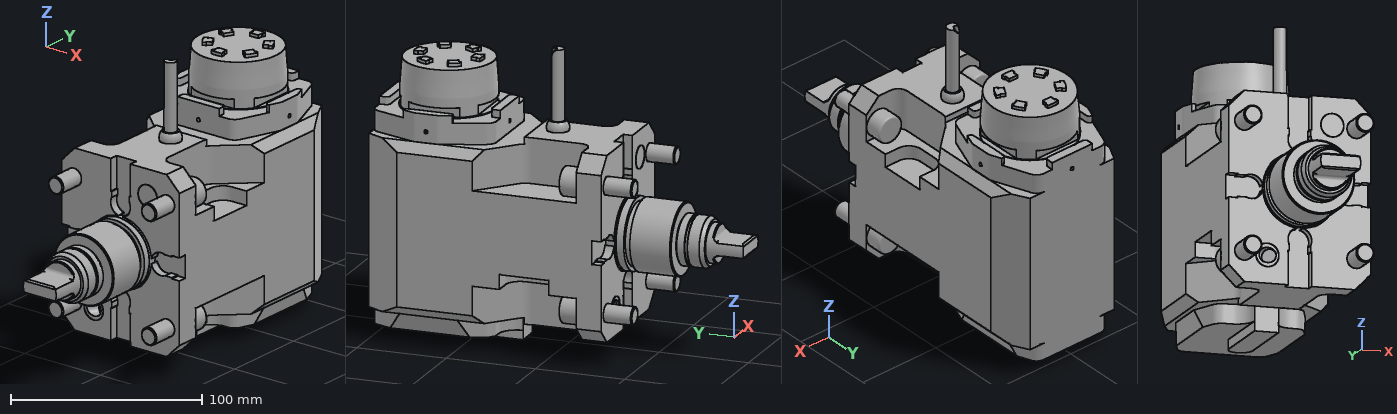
import cadquery as cq
import math


half_width = 78.0 / 2
body_half_height = 47.7
body_length = 134.0
body_edge_chamfer = 5.3
rear_chamfer_x = 10.1
rear_chamfer_y = 19.7

flange_half_height = 51.3
flange_thickness = 14.0
flange_chamfer = 8.5
block_length = 51.5

notch_floor_z = 26.2
notch_wall_x = 16.2
notch_rear_y = 72.2
notch_bend_y = 51.7
notch_bend_radius = 8.1
notch_flange_radius = 6.3

pocket_floor_z = 18.0
pocket_wall_x = 21.7
pocket_front_y = 29.5
pocket_rear_y = 57.0
pocket_radius = 8.1

key_depth = 5.0
key_neck_width = 11.8
key_mouth_width = 13.0
key_mouth_inner_z = 32.9
key_mouth_inner_x = 34.0
key_relief_center = 26.8

bolt_x = 30.8
bolt_z = 34.9
bolt_diameter = 10.0
bolt_reach = 15.8
bolt_tip_chamfer = 0.6
bolt_head_diameter = 16.0
bolt_head_height = 10.0
bolt_head_fillet = 1.2

port_x = 17.8
port_z = 36.0
port_seat_diameter = 12.5
port_seat_depth = 0.2
port_hole_diameter = 8.1
port_hole_depth = 4.5
port_tilt = 30.0

recess_diameter = 41.0

collar_diameter = 40.0
collar_end_y = -5.3
collar_chamfer = 1.0
groove_diameter = 35.0
groove_end_y = -8.7
barrel_diameter = 39.7
barrel_end_y = -31.6
barrel_chamfer = 0.6
neck_diameter = 25.0
neck_end_y = -32.7
journal_diameter = 28.0
journal_end_y = -47.7
journal_tip_diameter = 25.0
journal_taper_y = -45.2
ring_groove_diameter = 26.4
ring_groove_start_y = -37.0
ring_groove_end_y = -38.5
spigot_diameter = 22.0
spigot_end_y = -51.7
spigot_chamfer = 0.6

tang_tip_y = body_length - 202.8
tang_half_thickness = 4.0
tang_root_radius = 2.0
tang_flat_half = 8.3
tang_bevel_drop = 0.8
tang_tip_bevel_length = 1.2

plate_half_size = 68.0 / 2
plate_center_y = body_length - plate_half_size
plate_flat_half = 6.7
plate_end_half = 23.5
plate_corner_radius = 6.0
top_plate_z = 59.2
tab_top_z = 63.5
tab_half_width = 13.8
tab_depth = 5.5
tab_corner_radius = 2.0
pin_hole_diameter = 2.0
pin_hole_depth = 2.0
pin_hole_z = 53.7

bottom_plate_z = -58.2
flank_top_x = 30.6
flank_bottom_x = 28.0

bar_half_width = 13.2 / 2
bar_front_y = 56.2
bar_rear_y = 106.3
bar_bottom_z = -63.5
bar_root_radius = 9.7

head_seat_diameter = 52.7
head_seat_height = 0.5
head_neck_size = 43.5
head_bottom_z = 64.9
head_taper_z = 70.2
head_top_z = 85.4
head_base_diameter = 52.0
head_top_diameter = 49.7
tooth_count = 6
tooth_height = 1.8

pipe_x = 2.0
pipe_y = 40.0
pipe_diameter = 7.0
pipe_top_z = 96.0
nut_radius = 6.0
nut_sphere_z = flange_half_height + 1.2
nut_top_z = 56.5
nozzle_diameter = 4.0
nozzle_depth = 3.2
nozzle_tilt = 45.0
nozzle_heading = 120.0
tip_flat_offset = 1.6

overhang = 2.0

corners = [(side, level) for side in (-1, 1) for level in (-1, 1)]


def upright(sketch, z_bottom, z_top):
    """Extrude a closed XY outline between two heights."""
    return sketch.extrude(z_top - z_bottom).translate((0, 0, z_bottom))


def rod(x, z, y_front, y_rear, diameter):
    """Cylinder along Y between two positions."""
    return (
        cq.Workplane("XZ", origin=(x, y_rear, z))
        .circle(diameter / 2)
        .extrude(y_rear - y_front)
    )


def post(x, y, z_bottom, z_top, diameter):
    """Vertical cylinder between two heights."""
    return cq.Workplane("XY", origin=(x, y, z_bottom)).circle(diameter / 2).extrude(z_top - z_bottom)


def make_housing():
    side = half_width
    shoulder_y = body_length - rear_chamfer_y
    rear_x = half_width - rear_chamfer_x
    outline = cq.Workplane("XY").polyline([
        (-side, 0), (side, 0), (side, shoulder_y), (rear_x, body_length),
        (-rear_x, body_length), (-side, shoulder_y),
    ]).close()
    body = upright(outline, -body_half_height, body_half_height)
    long_edges = (
        cq.Workplane("XY")
        .box(2 * half_width, body_length, 2 * body_half_height, centered=(True, False, True))
        .edges("|Y")
        .chamfer(body_edge_chamfer)
    )
    block = (
        cq.Workplane("XY")
        .box(2 * half_width, block_length, 2 * flange_half_height, centered=(True, False, True))
        .edges("|Y")
        .chamfer(flange_chamfer)
    )
    return body.intersect(long_edges).union(block)


def place_in_corner(shape, side, level):
    """Mirror a feature made in the +X +Z corner into another corner."""
    if side < 0:
        shape = shape.mirror("YZ")
    if level < 0:
        shape = shape.mirror("XY")
    return shape


def make_notch(side, level):
    """Notch in one corner; side and level are the signs of X and Z."""
    slope = (notch_rear_y - notch_bend_y) / (half_width - notch_wall_x)
    outside = half_width + overhang
    middle_z = (notch_floor_z + flange_half_height) / 2
    outline = cq.Workplane("XY").polyline([
        (notch_wall_x, flange_thickness), (outside, flange_thickness),
        (outside, notch_rear_y + slope * overhang), (notch_wall_x, notch_bend_y),
    ]).close()
    notch = upright(outline, notch_floor_z, flange_half_height + overhang)
    rounded_corners = ((notch_bend_y, notch_bend_radius), (flange_thickness, notch_flange_radius))
    for corner_y, radius in rounded_corners:
        nearest = cq.selectors.NearestToPointSelector((notch_wall_x, corner_y, middle_z))
        notch = notch.edges(nearest).fillet(radius)
    return place_in_corner(notch, side, level)


def make_pocket(side, level):
    pocket = (
        cq.Workplane("XY")
        .box(2 * (half_width - pocket_wall_x), pocket_rear_y - pocket_front_y,
             notch_floor_z - pocket_floor_z + overhang, centered=False)
        .edges("|Z and <X")
        .fillet(pocket_radius)
        .translate((pocket_wall_x, pocket_front_y, pocket_floor_z))
    )
    return place_in_corner(pocket, side, level)


def make_keyway(mouth_inner, reach):
    """Keyway running up from the shank, with a round relief at its inner end and a wider mouth."""
    neck = cq.Workplane("XY").box(
        key_neck_width, key_depth, reach - key_relief_center, centered=(True, False, False)
    ).translate((0, 0, key_relief_center))
    mouth = cq.Workplane("XY").box(
        key_mouth_width, key_depth, reach - mouth_inner, centered=(True, False, False)
    ).translate((0, 0, mouth_inner))
    relief = rod(0, key_relief_center, 0, key_depth, key_mouth_width)
    return neck.union(mouth).union(relief)


def cut_keyways(body):
    for angle in (0, 90, 180, 270):
        across = angle in (90, 270)
        mouth_inner = key_mouth_inner_x if across else key_mouth_inner_z
        reach = half_width if across else flange_half_height
        keyway = make_keyway(mouth_inner, reach + overhang)
        body = body.cut(keyway.rotate((0, 0, 0), (0, 1, 0), angle))
    return body


def make_bolt(side, level):
    head_end = flange_thickness + bolt_head_height
    stud = rod(bolt_x, bolt_z, -bolt_reach, flange_thickness, bolt_diameter)
    stud = stud.faces("<Y").chamfer(bolt_tip_chamfer)
    head = rod(bolt_x, bolt_z, flange_thickness, head_end, bolt_head_diameter)
    head = head.faces(">Y").edges().fillet(bolt_head_fillet)
    return place_in_corner(stud.union(head), side, level)


def cut_ports(body):
    """Two shallow round seats in opposite corners; the lower one opens into a slanted hole."""
    for sign in (1, -1):
        body = body.cut(rod(sign * port_x, sign * port_z, 0, port_seat_depth, port_seat_diameter))
    hole = rod(0, 0, -port_hole_depth, port_hole_depth, port_hole_diameter)
    hole = hole.rotate((0, 0, 0), (0, 0, 1), -port_tilt).translate((-port_x, 0, -port_z))
    return body.cut(hole)


def make_shank():
    collar_radius = collar_diameter / 2
    groove_radius = groove_diameter / 2
    barrel_radius = barrel_diameter / 2
    neck_radius = neck_diameter / 2
    journal_radius = journal_diameter / 2
    ring_radius = ring_groove_diameter / 2
    spigot_radius = spigot_diameter / 2
    journal_tip_radius = journal_tip_diameter / 2
    profile = (
        cq.Workplane("XY")
        .moveTo(0, key_depth)
        .lineTo(collar_radius - collar_chamfer, key_depth)
        .lineTo(collar_radius - collar_chamfer, 0)
        .lineTo(collar_radius, -collar_chamfer)
        .lineTo(collar_radius, collar_end_y)
        .lineTo(groove_radius, collar_end_y)
        .lineTo(groove_radius, groove_end_y)
        .lineTo(barrel_radius, groove_end_y)
        .lineTo(barrel_radius, barrel_end_y + barrel_chamfer)
        .lineTo(barrel_radius - barrel_chamfer, barrel_end_y)
        .lineTo(neck_radius, barrel_end_y)
        .lineTo(neck_radius, neck_end_y)
        .lineTo(journal_radius, neck_end_y)
        .lineTo(journal_radius, ring_groove_start_y)
        .lineTo(ring_radius, ring_groove_start_y)
        .lineTo(ring_radius, ring_groove_end_y)
        .lineTo(journal_radius, ring_groove_end_y)
        .lineTo(journal_radius, journal_taper_y)
        .lineTo(journal_tip_radius, journal_end_y)
        .lineTo(spigot_radius, journal_end_y)
        .lineTo(spigot_radius, spigot_end_y + spigot_chamfer)
        .lineTo(spigot_radius - spigot_chamfer, spigot_end_y)
        .lineTo(0, spigot_end_y)
        .close()
    )
    return profile.revolve(360, (0, 0, 0), (0, 1, 0))


def make_tang():
    """Flat tang with bevelled long edges and tip, and hollow rounds where it meets the spigot."""
    thick = tang_half_thickness
    tip_thick = thick - tang_bevel_drop
    bevel_y = tang_tip_y + tang_tip_bevel_length
    root_y = spigot_end_y - tang_root_radius
    root_z = thick + tang_root_radius
    diagonal = tang_root_radius * math.sqrt(0.5)
    spigot_radius = spigot_diameter / 2
    tang = (
        cq.Workplane("YZ")
        .moveTo(journal_end_y, root_z)
        .lineTo(spigot_end_y, root_z)
        .threePointArc((root_y + diagonal, root_z - diagonal), (root_y, thick))
        .lineTo(bevel_y, thick)
        .lineTo(tang_tip_y, tip_thick)
        .lineTo(tang_tip_y, -tip_thick)
        .lineTo(bevel_y, -thick)
        .lineTo(root_y, -thick)
        .threePointArc((root_y + diagonal, diagonal - root_z), (spigot_end_y, -root_z))
        .lineTo(journal_end_y, -root_z)
        .close()
        .extrude(spigot_radius, both=True)
        .intersect(rod(0, 0, tang_tip_y, journal_end_y, spigot_diameter))
    )
    edge_bevel = (
        cq.Workplane("XZ", origin=(0, root_y, 0))
        .polyline([(tang_flat_half, thick), (spigot_radius, thick), (spigot_radius, tip_thick)])
        .close()
        .extrude(root_y - tang_tip_y)
    )
    for side, level in corners:
        tang = tang.cut(place_in_corner(edge_bevel, side, level))
    return tang


def octagon(z_bottom, z_top):
    """Plate with eight sides and rounded corners, centred on the head axis."""
    outer = plate_half_size
    flat = plate_flat_half
    end = plate_end_half
    outline = cq.Workplane("XY").polyline([
        (outer, -flat), (outer, flat), (end, outer), (-end, outer),
        (-outer, flat), (-outer, -flat), (-end, -outer), (end, -outer),
    ]).close()
    plate = outline.extrude(z_top - z_bottom).edges("|Z").fillet(plate_corner_radius)
    return plate.translate((0, plate_center_y, z_bottom))


def make_top_plate():
    """Octagonal plate with a raised tab and a small pin hole in the middle of each of its four sides."""
    plate = octagon(body_half_height, top_plate_z)
    tabs = cq.Workplane("XY")
    holes = cq.Workplane("XY")
    hole_start = plate_half_size - pin_hole_depth
    for angle in (0, 90, 180, 270):
        tab = (
            cq.Workplane("XY")
            .box(2 * tab_half_width, tab_depth, tab_top_z - top_plate_z, centered=(True, False, False))
            .edges("|Z and <Y")
            .fillet(tab_corner_radius)
            .translate((0, plate_half_size - tab_depth, top_plate_z))
        )
        hole = rod(0, pin_hole_z, hole_start, plate_half_size, pin_hole_diameter)
        tabs = tabs.add(tab.rotate((0, 0, 0), (0, 0, 1), angle))
        holes = holes.add(hole.rotate((0, 0, 0), (0, 0, 1), angle))
    tabs = tabs.combine().translate((0, plate_center_y, 0))
    holes = holes.combine().translate((0, plate_center_y, 0))
    tabs = tabs.intersect(octagon(top_plate_z, tab_top_z))
    return plate.union(tabs).cut(holes)


def make_bottom_plate():
    """Octagonal plate whose left and right flanks slope inwards towards the bottom."""
    plate = octagon(bottom_plate_z, -body_half_height)
    flanks = (
        cq.Workplane("XZ", origin=(0, body_length, 0))
        .polyline([
            (-flank_bottom_x, bottom_plate_z), (flank_bottom_x, bottom_plate_z),
            (flank_top_x, -body_half_height), (-flank_top_x, -body_half_height),
        ])
        .close()
        .extrude(2 * plate_half_size)
    )
    return plate.intersect(flanks)


def make_bar():
    """Bar under the bottom plate, rounded at the rear and flared where it leaves the plate."""
    straight_length = bar_rear_y - bar_half_width - bar_front_y
    height = -body_half_height - bar_bottom_z
    bar = (
        cq.Workplane("XY")
        .box(2 * bar_half_width, straight_length, height, centered=(True, False, False))
        .translate((0, bar_front_y, bar_bottom_z))
        .union(post(0, bar_rear_y - bar_half_width, bar_bottom_z, -body_half_height, 2 * bar_half_width))
    )
    plate_front_y = plate_center_y - plate_half_size
    neck_y = plate_front_y - bar_root_radius
    flare_x = bar_half_width + bar_root_radius
    diagonal = bar_root_radius * math.sqrt(0.5)
    flare = (
        cq.Workplane("XY")
        .moveTo(-bar_half_width, neck_y)
        .threePointArc((diagonal - flare_x, neck_y + diagonal), (-flare_x, plate_front_y))
        .lineTo(flare_x, plate_front_y)
        .threePointArc((flare_x - diagonal, neck_y + diagonal), (bar_half_width, neck_y))
        .close()
    )
    return bar.union(upright(flare, bottom_plate_z, -body_half_height))


def make_tooth():
    """Small face tooth at the +Y side of the head: a broad outer part on a narrower inner part."""
    outer_half_width = 7.0 / 2
    inner_half_width = 2.8
    outer_radius = 18.9
    step_radius = 16.5
    inner_radius = 13.4
    corner_y = math.sqrt(outer_radius ** 2 - outer_half_width ** 2)
    outline = (
        cq.Workplane("XY")
        .moveTo(-outer_half_width, corner_y)
        .threePointArc((0, outer_radius), (outer_half_width, corner_y))
        .lineTo(outer_half_width, step_radius)
        .lineTo(inner_half_width, step_radius)
        .lineTo(inner_half_width, inner_radius)
        .lineTo(-inner_half_width, inner_radius)
        .lineTo(-inner_half_width, step_radius)
        .lineTo(-outer_half_width, step_radius)
        .close()
    )
    return upright(outline, head_top_z, head_top_z + tooth_height)


def make_head():
    """Tapered round head on a square neck whose corners are flush with the head, with face teeth on top."""
    seat = post(0, 0, top_plate_z, top_plate_z + head_seat_height, head_seat_diameter)
    neck = (
        cq.Workplane("XY", origin=(0, 0, top_plate_z))
        .rect(head_neck_size, head_neck_size)
        .extrude(head_bottom_z - top_plate_z)
        .intersect(post(0, 0, top_plate_z, head_bottom_z, head_base_diameter))
    )
    base = post(0, 0, head_bottom_z, head_taper_z, head_base_diameter)
    taper = (
        cq.Workplane("XY", origin=(0, 0, head_taper_z))
        .circle(head_base_diameter / 2)
        .workplane(offset=head_top_z - head_taper_z)
        .circle(head_top_diameter / 2)
        .loft()
    )
    head = seat.union(neck).union(base).union(taper)
    for index in range(tooth_count):
        angle = index * 360 / tooth_count
        head = head.union(make_tooth().rotate((0, 0, 0), (0, 0, 1), angle))
    return head.translate((0, plate_center_y, 0))


def make_pipe():
    """Coolant pipe in a domed nut; its tip has a slanted flat with an outlet bored square to it."""
    dome = cq.Workplane("XY").sphere(nut_radius).translate((pipe_x, pipe_y, nut_sphere_z))
    dome = dome.intersect(post(pipe_x, pipe_y, flange_half_height, nut_top_z, 2 * nut_radius))
    pipe = post(0, 0, flange_half_height, pipe_top_z, pipe_diameter)
    above_flat = cq.Workplane("XY").rect(2 * pipe_diameter, 2 * pipe_diameter).extrude(pipe_diameter)
    above_flat = above_flat.rotate((0, 0, 0), (0, 1, 0), nozzle_tilt)
    outlet = cq.Workplane("XY").circle(nozzle_diameter / 2).extrude(-nozzle_depth)
    outlet = outlet.rotate((0, 0, 0), (0, 1, 0), nozzle_tilt)
    flat_run = (pipe_diameter / 2 - tip_flat_offset) / 2
    flat_drop = flat_run * math.tan(math.radians(nozzle_tilt))
    tip_cut = above_flat.union(outlet).translate((tip_flat_offset + flat_run, 0, pipe_top_z - flat_drop))
    pipe = pipe.cut(tip_cut).rotate((0, 0, 0), (0, 0, 1), nozzle_heading)
    return pipe.translate((pipe_x, pipe_y, 0)).union(dome)


result = make_housing()
for side, level in corners:
    result = result.cut(make_notch(side, level))
for sign in (-1, 1):
    result = result.cut(make_pocket(sign, sign))
result = cut_keyways(result)
result = cut_ports(result)
result = result.cut(rod(0, 0, 0, key_depth, recess_diameter))
for side, level in corners:
    result = result.union(make_bolt(side, level))
for make_part in (
    make_shank, make_tang, make_top_plate, make_head, make_bottom_plate, make_bar, make_pipe,
):
    result = result.union(make_part())